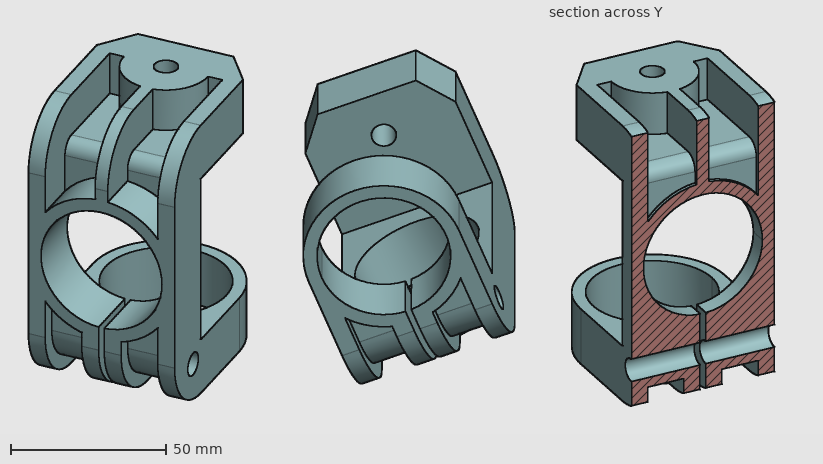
import cadquery as cq

WIDTH = 52.0
HEIGHT = 100.0
MEMBER = 20.0
BEND_RADIUS = MEMBER

UPPER_ARM_LENGTH = 64.0
TIP_CHAMFER_X = 9.0
TIP_CHAMFER_Y = 12.0
TIP_HOLE_DIAMETER = 8.0
TIP_HOLE_Y = 49.0
TIP_BOSS_RADIUS = 15.0

BORE_RADIUS = 21.5
RING_RADIUS = WIDTH / 2
RING_Y = 49.0
COLUMN_BORE_Z = HEIGHT / 2

SLIT_WIDTH = 2.0
SCREW_DIAMETER = 8.0
SCREW_OFFSET = 14.0

SIDE_WALL = 6.0
UPPER_POCKET_DEPTH = 15.0
LOWER_POCKET_DEPTH = 5.0
UPPER_RIB_WIDTH = 4.5
LOWER_RIB_WIDTH = 2 * 7.0


def block(x_range, y_range, z_range):
    """Box spanning the given (min, max) ranges."""
    (x0, x1), (y0, y1), (z0, z1) = x_range, y_range, z_range
    return cq.Workplane("XY").box(x1 - x0, y1 - y0, z1 - z0, centered=False).translate((x0, y0, z0))


def vertical_cylinder(radius, y):
    """Full-height cylinder along Z on the symmetry plane."""
    return cq.Workplane("XY").center(0, y).circle(radius).extrude(HEIGHT)


def column_cylinder(radius):
    """Cylinder along Y through the column, centred on the column bore."""
    return cq.Workplane("XZ").center(0, COLUMN_BORE_Z).circle(radius).extrude(-MEMBER)


def bent_body():
    """C-shaped side profile over the full width, outer bends rounded, lower arm ending in a half disc."""
    half_width = WIDTH / 2
    full = (-half_width, half_width)
    column = block(full, (0, MEMBER), (0, HEIGHT))
    upper_arm = block(full, (MEMBER, UPPER_ARM_LENGTH), (HEIGHT - MEMBER, HEIGHT))
    lower_arm = block(full, (MEMBER, RING_Y), (0, MEMBER))
    ring_end = cq.Workplane("XY").center(0, RING_Y).circle(RING_RADIUS).extrude(MEMBER)
    c_shape = column.union(upper_arm).union(lower_arm)
    return c_shape.edges("|X and <Y").fillet(BEND_RADIUS).union(ring_end)


def tip_chamfer(side):
    """Triangular prism removed from one corner of the upper arm's tip."""
    edge_x = side * WIDTH / 2
    return (
        cq.Workplane("XY", origin=(0, 0, HEIGHT - MEMBER))
        .moveTo(edge_x, UPPER_ARM_LENGTH)
        .lineTo(edge_x, UPPER_ARM_LENGTH - TIP_CHAMFER_Y)
        .lineTo(edge_x - side * TIP_CHAMFER_X, UPPER_ARM_LENGTH)
        .close()
        .extrude(MEMBER)
    )


def bent_pocket(depth, rib_width, arm_end_y):
    """Pair of pockets following the upper bend, one on each side of a central rib."""
    floor_radius = BEND_RADIUS - depth
    bend_z = HEIGHT - BEND_RADIUS
    length = WIDTH / 2 - SIDE_WALL - rib_width / 2
    skin = (
        cq.Workplane("YZ")
        .moveTo(0, COLUMN_BORE_Z)
        .lineTo(depth, COLUMN_BORE_Z)
        .lineTo(depth, bend_z)
        .radiusArc((BEND_RADIUS, HEIGHT - depth), floor_radius)
        .lineTo(arm_end_y, HEIGHT - depth)
        .lineTo(arm_end_y, HEIGHT)
        .lineTo(0, HEIGHT)
        .close()
        .extrude(length)
    )
    right = skin.translate((rib_width / 2, 0, 0))
    return right.union(right.mirror("YZ")).cut(column_cylinder(RING_RADIUS))


def upper_pockets():
    """Deep pockets, ending around the boss of the tip hole."""
    pockets = bent_pocket(UPPER_POCKET_DEPTH, UPPER_RIB_WIDTH, TIP_HOLE_Y)
    return pockets.cut(vertical_cylinder(TIP_BOSS_RADIUS, TIP_HOLE_Y))


def lower_pockets():
    """Shallow pockets around the lower bend, ending at the lower clamp ring."""
    pockets = bent_pocket(LOWER_POCKET_DEPTH, LOWER_RIB_WIDTH, RING_Y)
    pockets = pockets.cut(vertical_cylinder(RING_RADIUS, RING_Y))
    return pockets.mirror("XY", (0, 0, HEIGHT / 2))


def clamp_slit():
    """Slit through the lower bend that opens both bores."""
    half_slit = SLIT_WIDTH / 2
    return block((-half_slit, half_slit), (0, RING_Y), (0, COLUMN_BORE_Z))


def screw_hole():
    """Cross hole along X for the clamp screw."""
    return (
        cq.Workplane("YZ", origin=(-WIDTH / 2, 0, 0))
        .center(SCREW_OFFSET, SCREW_OFFSET)
        .circle(SCREW_DIAMETER / 2)
        .extrude(WIDTH)
    )


def lower_ring_bore():
    """Vertical bore through the lower arm."""
    return cq.Workplane("XY").center(0, RING_Y).circle(BORE_RADIUS).extrude(MEMBER)


result = bent_body()
for side in (-1, 1):
    result = result.cut(tip_chamfer(side))
result = result.cut(upper_pockets()).cut(lower_pockets())
result = result.cut(column_cylinder(BORE_RADIUS)).cut(lower_ring_bore())
result = result.cut(vertical_cylinder(TIP_HOLE_DIAMETER / 2, TIP_HOLE_Y))
result = result.cut(clamp_slit()).cut(screw_hole())